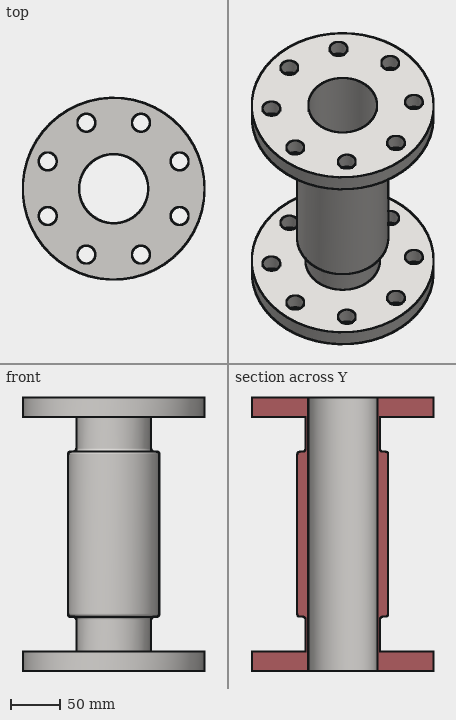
import cadquery as cq

total_length = 278
flange_diameter = 185
flange_thickness = 20
neck_diameter = 76
sleeve_diameter = 93
sleeve_length = 168
bore_diameter = 70

sleeve_end_radius = 3
neck_root_radius = 3

bolt_count = 8
bolt_circle_diameter = 145
bolt_hole_diameter = 18
first_bolt_angle = 360 / bolt_count / 2


def make_solid_body():
    """Flanges, necks and sleeve turned in one piece, without holes."""
    flange_radius = flange_diameter / 2
    neck_radius = neck_diameter / 2
    sleeve_radius = sleeve_diameter / 2
    top = total_length / 2
    flange_inner_face = top - flange_thickness
    shoulder = sleeve_length / 2
    sleeve_straight_end = shoulder - sleeve_end_radius
    neck_straight_end = shoulder + neck_root_radius
    sleeve_face_radius = sleeve_radius - sleeve_end_radius
    neck_root_outer_radius = neck_radius + neck_root_radius

    profile = (
        cq.Workplane("XZ")
        .moveTo(0, -top)
        .lineTo(flange_radius, -top)
        .lineTo(flange_radius, -flange_inner_face)
        .lineTo(neck_radius, -flange_inner_face)
        .lineTo(neck_radius, -neck_straight_end)
        .tangentArcPoint((neck_root_outer_radius, -shoulder), relative=False)
        .lineTo(sleeve_face_radius, -shoulder)
        .tangentArcPoint((sleeve_radius, -sleeve_straight_end), relative=False)
        .lineTo(sleeve_radius, sleeve_straight_end)
        .tangentArcPoint((sleeve_face_radius, shoulder), relative=False)
        .lineTo(neck_root_outer_radius, shoulder)
        .tangentArcPoint((neck_radius, neck_straight_end), relative=False)
        .lineTo(neck_radius, flange_inner_face)
        .lineTo(flange_radius, flange_inner_face)
        .lineTo(flange_radius, top)
        .lineTo(0, top)
        .close()
    )
    return profile.revolve(360, (0, 0, 0), (0, 1, 0))


def make_bore_cutter():
    """Cylinder along Z for the bore, as long as the part."""
    return cq.Workplane("XY").cylinder(total_length, bore_diameter / 2)


def make_bolt_hole_cutters():
    """Ring of cylinders, each passing through both flanges."""
    return (
        cq.Workplane("XY")
        .polarArray(bolt_circle_diameter / 2, first_bolt_angle, 360, bolt_count)
        .cylinder(total_length, bolt_hole_diameter / 2)
    )


body = make_solid_body().cut(make_bore_cutter())
result = body.cut(make_bolt_hole_cutters())